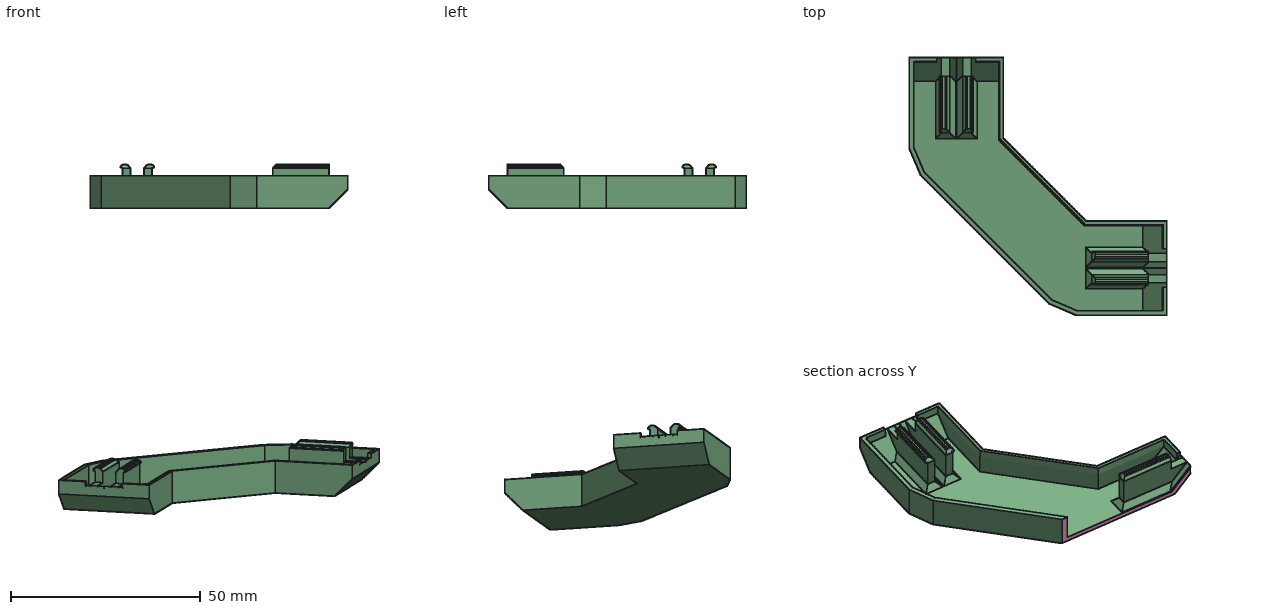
import cadquery as cq

SPAN = 68.0
LEG_WIDTH = 24.9
TRAY_HEIGHT = 8.65
INNER_LEG_LENGTH = 21.3
OUTER_LEG_LENGTH = 24.0
CORNER_LONG = 7.0
CORNER_SHORT = 3.0
END_CHAMFER = 4.95

FLOOR = 1.5
WALL = 1.2
LIP_SHIFT = 0.3
LIP_HEIGHT = 2.0
RAMP_LENGTH = 6.3
RAMP_TOP = 7.7

POST_GAP = 3.5
POST_WIDTH = 2.2
POST_LENGTH = 14.9
POST_TOP = 10.6
FOOT_RUN = 1.55
FOOT_TAPER = 44.9
NOTCH_WIDTH = 10.2
GROOVE_WIDTH = 0.15
GROOVE_DEPTH = 0.35

HEAD_TOP = 11.6
BARB_REACH = 0.55
BARB_SHOULDER = 0.2
NOSE_BOTTOM = 0.2
NOSE_TOP = 0.4
HEAD_FLAT_START = 0.3
HEAD_FLAT_END = 0.95
HEAD_SHOULDER = 1.4
SHOULDER_DROP = 0.2

LEG_CENTRE = LEG_WIDTH / 2
POST_END = SPAN - END_CHAMFER
POST_START = POST_END - POST_LENGTH


def block(x0, x1, y0, y1, z0, z1):
    return cq.Workplane("XY").box(x1 - x0, y1 - y0, z1 - z0, centered=False).translate((x0, y0, z0))


def prism_along_x(yz_points, x0, x1):
    return cq.Workplane("YZ").polyline(yz_points).close().extrude(x1 - x0).translate((x0, 0, 0))


def outline(inset=0.0):
    """Elbow outline in the XY plane, moved inward by the inset."""
    inner_corner = SPAN - INNER_LEG_LENGTH
    outer_corner = SPAN - OUTER_LEG_LENGTH
    facet_end = outer_corner - CORNER_LONG
    half = [
        (CORNER_SHORT, facet_end),
        (0, outer_corner),
        (0, SPAN),
        (LEG_WIDTH, SPAN),
        (LEG_WIDTH, inner_corner),
    ]
    other_half = [(y, x) for x, y in reversed(half)]
    wire = cq.Workplane("XY").polyline(half + other_half).close()
    if inset:
        wire = wire.offset2D(-inset, "intersection")
    return wire


def tray():
    """Open tray; near the rim the end walls and the inside-corner walls taper thinner."""
    cavity = outline(WALL).extrude(TRAY_HEIGHT - FLOOR).translate((0, 0, FLOOR))
    lip_start = TRAY_HEIGHT - LIP_HEIGHT
    inside = outline(WALL).val()
    lower = inside.translate(cq.Vector(0, 0, lip_start))
    upper = inside.translate(cq.Vector(LIP_SHIFT, LIP_SHIFT, TRAY_HEIGHT))
    lip = cq.Workplane(cq.Solid.makeLoft([lower, upper], True))
    return outline().extrude(TRAY_HEIGHT).cut(cavity).cut(lip)


def end_notch():
    """Opening through the end wall above the ramp and the post shelves."""
    return block(LEG_CENTRE - NOTCH_WIDTH / 2, LEG_CENTRE + NOTCH_WIDTH / 2,
                 SPAN - WALL, SPAN, FLOOR, TRAY_HEIGHT)


def ramp():
    """Sloped end floor with a narrow groove along the leg centre line."""
    start = SPAN - RAMP_LENGTH
    slope = prism_along_x([(start, FLOOR), (SPAN, FLOOR), (SPAN, RAMP_TOP)], 0, LEG_WIDTH)
    groove_profile = [
        (start, FLOOR),
        (SPAN, RAMP_TOP),
        (SPAN, RAMP_TOP - GROOVE_DEPTH),
        (start, FLOOR - GROOVE_DEPTH),
    ]
    groove = prism_along_x(groove_profile, LEG_CENTRE - GROOVE_WIDTH / 2, LEG_CENTRE + GROOVE_WIDTH / 2)
    return slope.cut(groove)


def under_bevel():
    """Wedge removed from under the leg end."""
    profile = [(POST_END, 0), (SPAN, 0), (SPAN, END_CHAMFER)]
    return prism_along_x(profile, 0, LEG_WIDTH)


def snap_head(outer_face):
    """Head with a blunt barb; the barb points to -X and the inner end slopes down at 45 degrees."""
    profile = [
        (0, POST_TOP),
        (-BARB_REACH, POST_TOP + NOSE_BOTTOM),
        (-BARB_REACH, POST_TOP + NOSE_TOP),
        (-BARB_SHOULDER, HEAD_TOP - SHOULDER_DROP),
        (HEAD_FLAT_START, HEAD_TOP),
        (HEAD_FLAT_END, HEAD_TOP),
        (HEAD_SHOULDER, HEAD_TOP - SHOULDER_DROP),
        (POST_WIDTH, POST_TOP),
    ]
    head = (
        cq.Workplane("XZ")
        .polyline(profile)
        .close()
        .extrude(-POST_LENGTH)
    )
    head = head.translate((outer_face, POST_START, 0))
    head_rise = HEAD_TOP - POST_TOP
    end_slope = [
        (POST_START, POST_TOP),
        (POST_START, HEAD_TOP),
        (POST_START + head_rise, HEAD_TOP),
    ]
    return head.cut(prism_along_x(end_slope, 0, LEG_WIDTH))


def snap_post():
    """Post on the low-X side of the leg, with its foot, its head and a low shelf out to the leg end."""
    inner_face = LEG_CENTRE - POST_GAP / 2
    outer_face = inner_face - POST_WIDTH
    post = block(outer_face, inner_face, POST_START, POST_END, FLOOR, POST_TOP)
    shelf = block(outer_face, inner_face, POST_END, SPAN, FLOOR, RAMP_TOP)
    foot = (
        cq.Workplane("XY")
        .rect(POST_WIDTH + 2 * FOOT_RUN, POST_LENGTH + 2 * FOOT_RUN)
        .extrude(FOOT_RUN, taper=FOOT_TAPER)
        .translate(((outer_face + inner_face) / 2, (POST_START + POST_END) / 2, FLOOR))
    )
    return post.union(shelf).union(foot).union(snap_head(outer_face))


def across_leg(shape):
    return shape.mirror("YZ", (LEG_CENTRE, 0, 0))


def across_diagonal(shape):
    return shape.mirror((1, -1, 0), (0, 0, 0))


post = snap_post()
notch = end_notch()
bevel = under_bevel()
leg_details = ramp().union(post).union(across_leg(post))

result = (
    tray()
    .cut(notch)
    .cut(across_diagonal(notch))
    .union(leg_details)
    .union(across_diagonal(leg_details))
    .cut(bevel)
    .cut(across_diagonal(bevel))
)